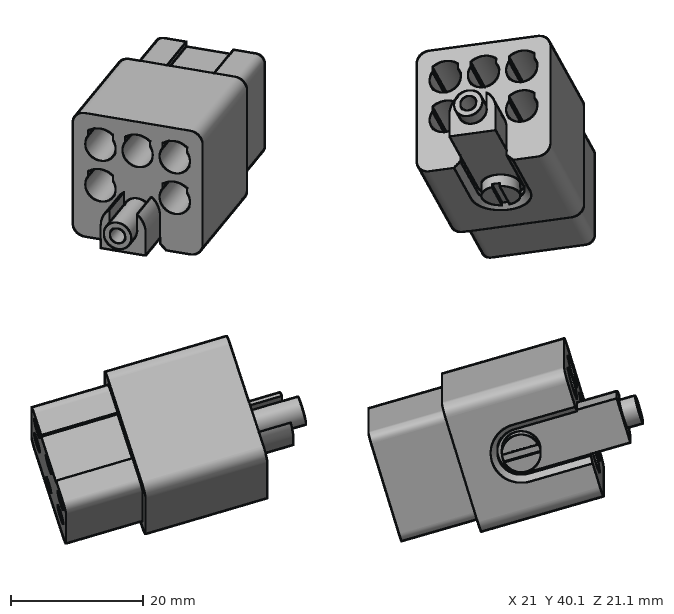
import cadquery as cq


HOUSING_SIDE = 21.0
HOUSING_LENGTH = 19.3
HOUSING_CORNER_RADIUS = 2.0

PLUG_WIDTH = 17.75
PLUG_HEIGHT = 17.0
PLUG_LENGTH = 12.1
PLUG_CORNER_RADIUS = 1.5
GROOVE_WIDTH = 7.6
GROOVE_DEPTH = 0.8

CONTACT_PITCH_X = 6.0
UPPER_ROW_Z = 5.3
LOWER_ROW_Z = -1.6
CONTACT_BORE_DIAMETER = 3.0
COUNTERBORE_DIAMETER = 4.9
KEYWAY_WIDTH = 4.0
KEYWAY_TOP_RADIUS = 3.0
COUNTERBORE_DEPTH = 15.0

PIN_Z = -4.7
PIN_DIAMETER = 4.45
PIN_BORE_DIAMETER = 2.5
PIN_LENGTH = 8.7
CRADLE_WIDTH = 7.25
CRADLE_LENGTH = 6.25
CRADLE_BOTTOM_Z = -8.6

SCREW_Y = 9.9
SCREW_HEAD_DIAMETER = 5.9
SCREW_PROTRUSION = 0.11
DRIVER_SLOT_WIDTH = 1.2
DRIVER_SLOT_DEPTH = 0.5
ACCESS_CHAMFER = 1.0

HOUSING_BOTTOM_Z = -HOUSING_SIDE / 2
BODY_LENGTH = HOUSING_LENGTH + PLUG_LENGTH


def block(width, y_start, y_end, z_bottom, z_top):
    """Box centred on X = 0 between the given Y and Z limits."""
    size = (width, y_end - y_start, z_top - z_bottom)
    return cq.Workplane("XY").box(*size, centered=(True, False, False)).translate((0, y_start, z_bottom))


def rod(diameter, x, z, y_start, y_end):
    """Cylinder along Y."""
    plane = cq.Workplane("XZ", origin=(x, y_start, z))
    return plane.circle(diameter / 2).extrude(y_start - y_end)


def make_housing():
    half = HOUSING_SIDE / 2
    housing = block(HOUSING_SIDE, 0, HOUSING_LENGTH, -half, half)
    return housing.edges("|Y").fillet(HOUSING_CORNER_RADIUS)


def make_plug():
    half = PLUG_HEIGHT / 2
    plug = block(PLUG_WIDTH, HOUSING_LENGTH, BODY_LENGTH, -half, half)
    plug = plug.edges("|Y").fillet(PLUG_CORNER_RADIUS)
    return plug.cut(block(GROOVE_WIDTH, HOUSING_LENGTH, BODY_LENGTH, half - GROOVE_DEPTH, half))


def make_contact_cavity(x, z):
    """Through bore with a counterbore that has a round-topped keyway above it."""
    bore = rod(CONTACT_BORE_DIAMETER, x, z, 0, BODY_LENGTH)
    counterbore = rod(COUNTERBORE_DIAMETER, x, z, 0, COUNTERBORE_DEPTH)
    keyway = block(KEYWAY_WIDTH, 0, COUNTERBORE_DEPTH, 0, KEYWAY_TOP_RADIUS).translate((x, 0, z))
    keyway = keyway.intersect(rod(2 * KEYWAY_TOP_RADIUS, x, z, 0, COUNTERBORE_DEPTH))
    return bore.union(counterbore).union(keyway)


def make_earth_terminal():
    """Cradle with an arched outside concentric with the pin, open at the top."""
    arch = rod(CRADLE_WIDTH, 0, PIN_Z, -CRADLE_LENGTH, 0)
    base = block(CRADLE_WIDTH, -CRADLE_LENGTH, 0, CRADLE_BOTTOM_Z, PIN_Z)
    arch_top_z = PIN_Z + CRADLE_WIDTH / 2
    opening = block(PIN_DIAMETER, -CRADLE_LENGTH, 0, PIN_Z, arch_top_z)
    cradle = arch.union(base).cut(opening)
    return cradle.union(rod(PIN_DIAMETER, 0, PIN_Z, -PIN_LENGTH, 0))


def make_access_slot():
    """Slot in the housing underside, open to the front and chamfered at its rim."""
    depth = CRADLE_BOTTOM_Z - HOUSING_BOTTOM_Z
    length = 2 * SCREW_Y + CRADLE_WIDTH
    bottom = cq.Workplane("XY", origin=(0, 0, HOUSING_BOTTOM_Z))
    slot = bottom.slot2D(length, CRADLE_WIDTH, 90).extrude(depth)
    rim = bottom.slot2D(length + 2 * ACCESS_CHAMFER, CRADLE_WIDTH + 2 * ACCESS_CHAMFER, 90)
    rim = rim.extrude(ACCESS_CHAMFER, taper=45)
    return slot.union(rim)


def make_screw_head():
    """Slotted screw head standing slightly proud of the housing underside."""
    bottom_z = HOUSING_BOTTOM_Z - SCREW_PROTRUSION
    head = cq.Workplane("XY", origin=(0, SCREW_Y, bottom_z)).circle(SCREW_HEAD_DIAMETER / 2)
    head = head.extrude(CRADLE_BOTTOM_Z - bottom_z)
    front_y = SCREW_Y - SCREW_HEAD_DIAMETER / 2
    back_y = SCREW_Y + SCREW_HEAD_DIAMETER / 2
    slot_top_z = bottom_z + DRIVER_SLOT_DEPTH
    driver_slot = block(DRIVER_SLOT_WIDTH, front_y, back_y, bottom_z, slot_top_z)
    return head.cut(driver_slot)


upper_row = [(column * CONTACT_PITCH_X, UPPER_ROW_Z) for column in (-1, 0, 1)]
lower_row = [(column * CONTACT_PITCH_X, LOWER_ROW_Z) for column in (-1, 1)]

result = make_housing().union(make_plug())
for cavity_x, cavity_z in upper_row + lower_row:
    result = result.cut(make_contact_cavity(cavity_x, cavity_z))
result = result.cut(make_access_slot())
result = result.union(make_screw_head())
result = result.union(make_earth_terminal())
result = result.cut(rod(PIN_BORE_DIAMETER, 0, PIN_Z, -PIN_LENGTH, BODY_LENGTH))